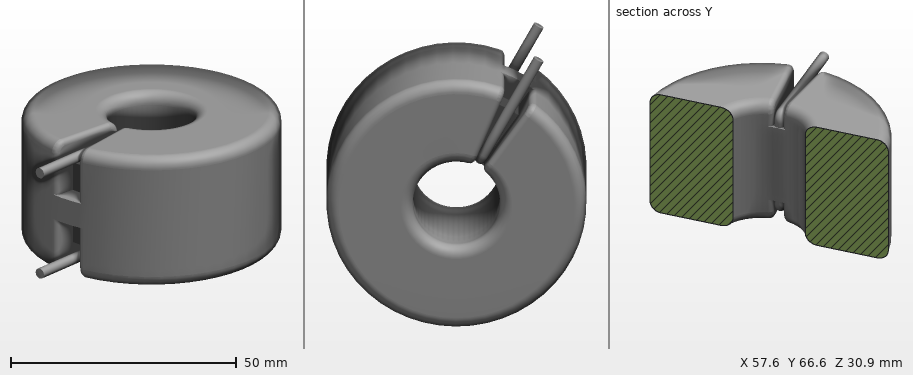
import cadquery as cq
import math

outer_radius = 28.8
bore_radius = 9.65
height = 30.9
rim_fillet = 2.7

slot_half_angle = 6.3
slot_half_width_at_bore = 1.13
slot_edge_fillet = 1.25

core_radius = 23.7
core_height = 19.1
web_height = 5.85

wire_radius = 1.2
wire_height = 12.0
wire_bend_radius = 1.3
wire_post_y = -11.0
wire_end_y = -37.8


def make_ring(radius, ring_height):
    """Ring around the bore, centred on the XY plane."""
    base = cq.Workplane("XY", origin=(0, 0, -ring_height / 2))
    return base.circle(radius).circle(bore_radius).extrude(ring_height)


def slot_half_width(distance):
    """Half the slot width at a distance from the axis along -Y."""
    return slot_half_width_at_bore + (distance - bore_radius) * math.tan(math.radians(slot_half_angle))


def make_slot_cutter():
    """Full-height wedge that opens the ring from the bore to beyond the outside."""
    start = bore_radius / 2
    end = outer_radius + wire_radius
    outline = [
        (-slot_half_width(start), -start),
        (slot_half_width(start), -start),
        (slot_half_width(end), -end),
        (-slot_half_width(end), -end),
    ]
    base = cq.Workplane("XY", origin=(0, 0, -height / 2))
    return base.polyline(outline).close().extrude(height)


def make_housing():
    """Rounded ring, split by the slot, with every edge of the slot walls rounded."""
    ring = make_ring(outer_radius, height).edges("%CIRCLE").fillet(rim_fillet)
    split_ring = ring.cut(make_slot_cutter())
    middle = (bore_radius + outer_radius) / 2
    wall_edges = []
    for side in (-1, 1):
        wall_point = (side * slot_half_width(middle), -middle, 0)
        wall = split_ring.faces(cq.selectors.NearestToPointSelector(wall_point))
        wall_edges += wall.edges().vals()
    return split_ring.newObject(wall_edges).fillet(slot_edge_fillet)


def make_wire():
    """U-shaped wire: a post beside the bore and two straight leads, joined by round bends."""
    bend_y = wire_post_y - wire_bend_radius
    bend_height = wire_height - wire_bend_radius
    bend_offset = wire_bend_radius * math.sin(math.radians(45))
    path = (
        cq.Workplane("YZ")
        .moveTo(wire_end_y, wire_height)
        .lineTo(bend_y, wire_height)
        .threePointArc((bend_y + bend_offset, bend_height + bend_offset), (wire_post_y, bend_height))
        .lineTo(wire_post_y, -bend_height)
        .threePointArc((bend_y + bend_offset, -bend_height - bend_offset), (bend_y, -wire_height))
        .lineTo(wire_end_y, -wire_height)
    )
    section = cq.Workplane("XZ", origin=(0, wire_end_y, wire_height)).circle(wire_radius)
    return section.sweep(path)


core = make_ring(core_radius, core_height)
web = make_ring(outer_radius, web_height)
result = make_housing().union(core).union(web).union(make_wire()).clean()